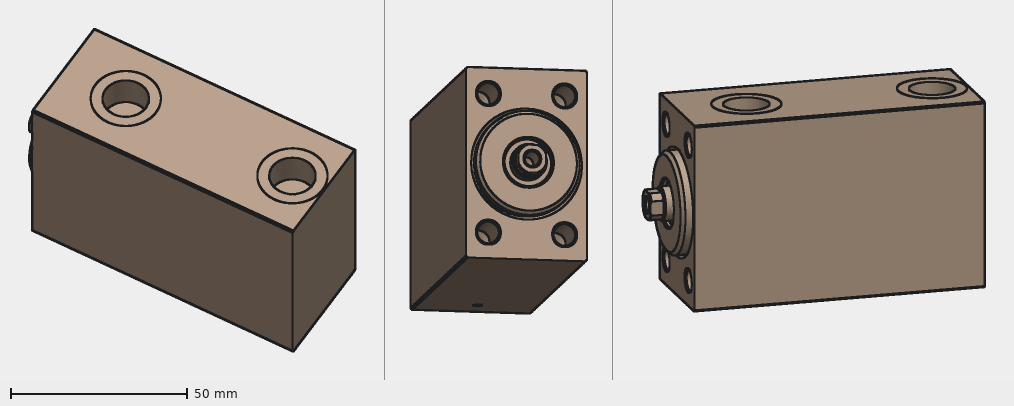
import cadquery as cq
import math


total_length = 95.0
rod_reach = 9.0
housing_length = total_length - rod_reach
housing_width = 35.0
housing_height = 55.0
edge_chamfer = 0.5

bolt_spacing_y = 22.0
bolt_spacing_z = 40.0
bolt_diameter = 6.3
bolt_mouth_diameter = 7.2
bolt_depth = 15.2
drill_tip_angle = 118.0

first_port_x = 20.5
port_spacing = 55.0
port_diameter = 13.2
port_depth = 10.0
spot_face_diameter = 19.95
spot_face_depth = 0.1
feed_diameter = 2.6

gland_diameter = 30.0
gland_reach = 3.1
gland_depth = 12.0
gland_chamfer_length = 1.1
gland_chamfer_height = 1.0
gland_seat_chamfer = 1.0
wiper_mouth_diameter = 14.6
wiper_mouth_depth = 0.5
wiper_seat_diameter = 13.7
wiper_seat_depth = 1.7

rod_diameter = 10.0
rod_depth = 28.5
rod_chamfer = 0.5
head_length = 3.8
head_across_flats = 8.0
head_diameter = rod_diameter - 2 * rod_chamfer
head_chamfer = 0.3
rod_hole_diameter = 4.3
rod_hole_mouth_diameter = 5.1
rod_hole_depth = 10.0


def revolve_about_x(profile):
    """Solid of revolution about X from closed (x, radius) points."""
    return cq.Workplane("XZ").polyline(profile).close().revolve(360, (0, 0), (1, 0))


def drilled_hole(start_x, diameter, mouth_diameter, depth):
    """Cutter along +X with a 45 degree mouth chamfer and a conical drill tip."""
    radius = diameter / 2
    mouth_radius = mouth_diameter / 2
    tip_length = radius / math.tan(math.radians(drill_tip_angle / 2))
    return revolve_about_x([
        (start_x, 0),
        (start_x, mouth_radius),
        (start_x + mouth_radius - radius, radius),
        (start_x + depth, radius),
        (start_x + depth + tip_length, 0),
    ])


def port_cutter(port_x, feed_length):
    """Stepped cutter down from the top face: spot face, port and feed hole."""
    top = cq.Workplane("XY", origin=(port_x, 0, housing_height / 2))
    spot_face = top.circle(spot_face_diameter / 2).extrude(-spot_face_depth)
    port = top.circle(port_diameter / 2).extrude(-port_depth)
    feed = top.circle(feed_diameter / 2).extrude(-feed_length)
    return spot_face.union(port).union(feed)


def make_housing():
    block = (
        cq.Workplane("XY")
        .box(housing_length, housing_width, housing_height, centered=(False, True, True))
        .edges("|X")
        .chamfer(edge_chamfer)
    )

    gland_radius = gland_diameter / 2
    gland_seat = revolve_about_x([
        (0, 0),
        (0, gland_radius + gland_seat_chamfer),
        (gland_seat_chamfer, gland_radius),
        (gland_depth, gland_radius),
        (gland_depth, 0),
    ])
    rod_bore = cq.Workplane("YZ").circle(rod_diameter / 2).extrude(rod_depth)
    block = block.cut(gland_seat).cut(rod_bore)

    for side_y in (-1, 1):
        for side_z in (-1, 1):
            bolt_hole = drilled_hole(0, bolt_diameter, bolt_mouth_diameter, bolt_depth)
            bolt_place = (0, side_y * bolt_spacing_y / 2, side_z * bolt_spacing_z / 2)
            block = block.cut(bolt_hole.translate(bolt_place))

    block = block.cut(port_cutter(first_port_x, housing_height / 2))
    return block.cut(port_cutter(first_port_x + port_spacing, housing_height))


def make_gland():
    front_x = -gland_reach
    outer_radius = gland_diameter / 2
    rod_radius = rod_diameter / 2
    return revolve_about_x([
        (front_x, wiper_mouth_diameter / 2),
        (front_x, outer_radius - gland_chamfer_height),
        (front_x + gland_chamfer_length, outer_radius),
        (gland_depth, outer_radius),
        (gland_depth, rod_radius),
        (front_x + wiper_seat_depth, rod_radius),
        (front_x + wiper_seat_depth, wiper_seat_diameter / 2),
        (front_x + wiper_mouth_depth, wiper_seat_diameter / 2),
        (front_x + wiper_mouth_depth, wiper_mouth_diameter / 2),
    ])


def make_rod():
    tip_x = -rod_reach
    shoulder_x = tip_x + head_length
    rod_radius = rod_diameter / 2
    head_radius = head_diameter / 2

    shaft = revolve_about_x([
        (shoulder_x, 0),
        (shoulder_x, rod_radius - rod_chamfer),
        (shoulder_x + rod_chamfer, rod_radius),
        (rod_depth, rod_radius),
        (rod_depth, 0),
    ])

    head_round = revolve_about_x([
        (tip_x, 0),
        (tip_x, head_radius - head_chamfer),
        (tip_x + head_chamfer, head_radius),
        (shoulder_x, head_radius),
        (shoulder_x, 0),
    ])
    head_square = (
        cq.Workplane("YZ", origin=(tip_x, 0, 0))
        .rect(head_across_flats, head_across_flats)
        .extrude(head_length)
    )
    head = head_round.intersect(head_square)

    tip_hole = drilled_hole(tip_x, rod_hole_diameter, rod_hole_mouth_diameter, rod_hole_depth)
    return shaft.union(head).cut(tip_hole)


housing = make_housing()
gland = make_gland()
rod = make_rod()

result = cq.Compound.makeCompound([housing.val(), gland.val(), rod.val()])